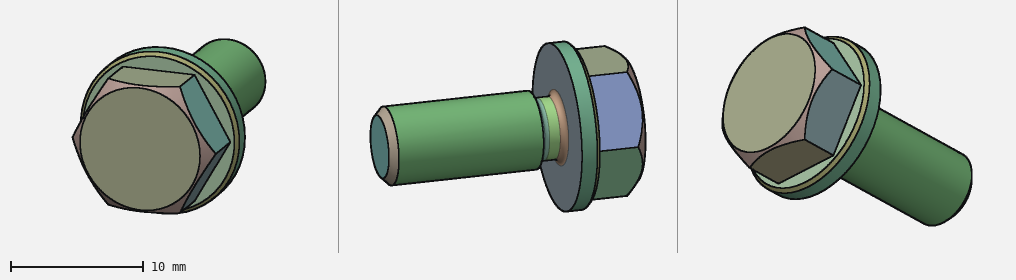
import cadquery as cq
import math

total_length = 19.5

head_height = 4.0
across_flats = 10.0
head_face_diameter = 9.67
head_bevel_height = 0.88

flange_diameter = 12.8
flange_thickness = 1.5
flange_chamfer = 0.3

shank_diameter = 6.0
neck_diameter = 4.8
neck_length = 1.99
neck_fillet = 0.5
runout_angle = math.radians(60)
tip_chamfer = (shank_diameter - neck_diameter) / 2

head_face_y = -total_length / 2
flange_front_y = head_face_y + head_height
flange_back_y = flange_front_y + flange_thickness
shank_start_y = flange_back_y + neck_length
tip_y = total_length / 2

AXIS_START = (0, 0, 0)
AXIS_END = (0, 1, 0)


def revolve_about_y(profile):
    return profile.close().revolve(360, AXIS_START, AXIS_END)


def make_head():
    """Hexagonal prism with two flats facing +Z and -Z and a conical bevel on its outer face."""
    corner_diameter = across_flats / math.cos(math.pi / 6)
    corner_radius = corner_diameter / 2
    prism = (
        cq.Workplane("XZ", origin=(0, flange_front_y, 0))
        .polygon(6, corner_diameter)
        .extrude(head_height)
    )
    bevel_envelope = revolve_about_y(
        cq.Workplane("XY")
        .moveTo(0, head_face_y)
        .lineTo(head_face_diameter / 2, head_face_y)
        .lineTo(corner_radius, head_face_y + head_bevel_height)
        .lineTo(corner_radius, flange_front_y)
        .lineTo(0, flange_front_y)
    )
    return prism.intersect(bevel_envelope)


def make_flange():
    """Round flange, chamfered on the rim next to the head."""
    return (
        cq.Workplane("XZ", origin=(0, flange_back_y, 0))
        .circle(flange_diameter / 2)
        .extrude(flange_thickness)
        .faces("<Y")
        .edges()
        .chamfer(flange_chamfer)
    )


def neck_arc_point(center_y, angle):
    """Point on a neck fillet, turned by angle from where it meets the neck cylinder."""
    radius = neck_diameter / 2 + neck_fillet * (1 - math.cos(angle))
    return radius, center_y + neck_fillet * math.sin(angle)


def make_shank():
    """Undercut neck with a fillet at the flange, a conical runout, and a chamfered shank."""
    neck_radius = neck_diameter / 2
    shank_radius = shank_diameter / 2
    lower_arc_y = flange_back_y + neck_fillet

    arc_rise = neck_fillet * (1 - math.cos(runout_angle))
    runout_length = (shank_radius - neck_radius - arc_rise) / math.tan(runout_angle)
    upper_arc_y = shank_start_y - runout_length - neck_fillet * math.sin(runout_angle)

    return revolve_about_y(
        cq.Workplane("XY")
        .moveTo(0, flange_back_y)
        .lineTo(neck_radius + neck_fillet, flange_back_y)
        .threePointArc(neck_arc_point(lower_arc_y, -math.pi / 4), (neck_radius, lower_arc_y))
        .lineTo(neck_radius, upper_arc_y)
        .threePointArc(
            neck_arc_point(upper_arc_y, runout_angle / 2),
            neck_arc_point(upper_arc_y, runout_angle),
        )
        .lineTo(shank_radius, shank_start_y)
        .lineTo(shank_radius, tip_y - tip_chamfer)
        .lineTo(shank_radius - tip_chamfer, tip_y)
        .lineTo(0, tip_y)
    )


result = make_head().union(make_flange()).union(make_shank())